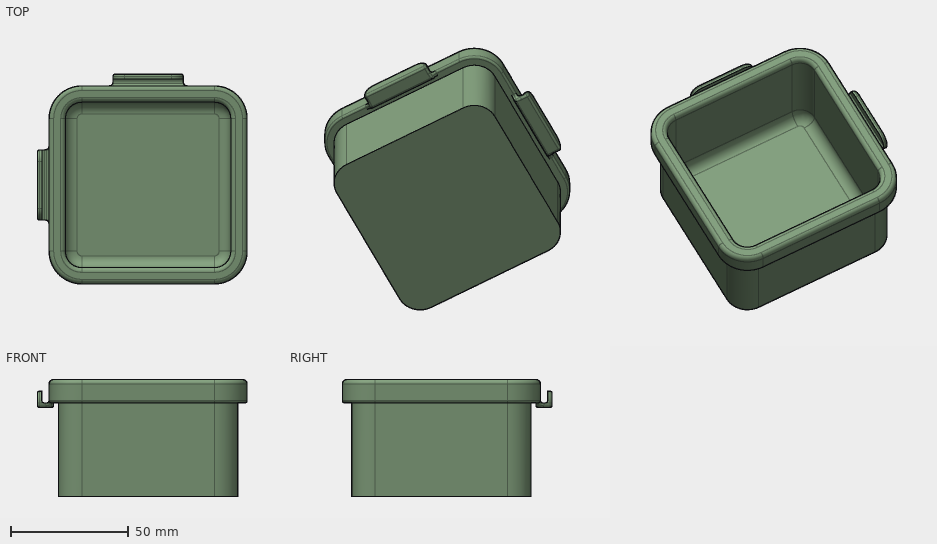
import cadquery as cq

height = 50.0
body_side = 76.5
body_corner_radius = 10.0
rim_overhang = 4.0
rim_height = 10.0
rim_top_radius = 2.0
rim_bottom_radius = 1.0
wall = 3.0
floor = 3.0
floor_radius = 5.0
mouth_radius = 2.0

hook_width = 30.0
hook_reach = 5.0
hook_overlap = 2.0
hook_thickness = 2.0
hook_height = 7.0
hook_corner_radius = 5.0
hook_edge_radius = 1.0
hook_blend_radius = 1.0
flare_radius = 2.0

rim_side = body_side + 2 * rim_overhang
rim_base = height - rim_height
rim_face = rim_side / 2
hook_base = rim_base - hook_thickness
hook_outer = rim_face + hook_reach
hook_inner = rim_face - hook_overlap
flare_end = hook_width / 2 + flare_radius
turn_x = rim_bottom_radius - rim_face
turn_z = rim_base + rim_bottom_radius
tolerance = 0.01


def rounded_block(side, corner_radius, base, top):
    """Square block with rounded vertical corners, centred on the Z axis."""
    block = cq.Workplane("XY").workplane(offset=base).rect(side, side).extrude(top - base)
    return block.edges("|Z").fillet(corner_radius)


def make_cup_blank():
    body = rounded_block(body_side, body_corner_radius, 0, rim_base)
    rim = rounded_block(rim_side, body_corner_radius + rim_overhang, rim_base, height)
    rim = rim.faces(">Z").edges().fillet(rim_top_radius)
    rim = rim.faces("<Z").edges().fillet(rim_bottom_radius)
    return body.union(rim)


def cut_cavity(cup):
    inner_side = body_side - 2 * wall
    cavity = rounded_block(inner_side, body_corner_radius - wall, floor, height)
    cavity = cavity.faces("<Z").edges().fillet(floor_radius)
    hollow = cup.cut(cavity)
    mouth_reach = inner_side / 2 + tolerance
    mouth = cq.selectors.BoxSelector(
        (-mouth_reach, -mouth_reach, height - tolerance),
        (mouth_reach, mouth_reach, height + tolerance),
        boundingbox=True,
    )
    return hollow.edges(mouth).fillet(mouth_radius)


def extrude_hook_section(half_width):
    """J-shaped section of the -X hook; the arm blends into the finger plate and the rim face."""
    blend_height = rim_base + hook_blend_radius
    finger_face = hook_thickness - hook_outer
    hook_top = hook_base + hook_height
    return (
        cq.Workplane("XZ")
        .moveTo(-hook_outer, hook_base)
        .lineTo(-hook_inner, hook_base)
        .lineTo(-hook_inner, blend_height)
        .lineTo(-rim_face, blend_height)
        .radiusArc((-rim_face - hook_blend_radius, rim_base), hook_blend_radius)
        .lineTo(finger_face + hook_blend_radius, rim_base)
        .radiusArc((finger_face, blend_height), hook_blend_radius)
        .lineTo(finger_face, hook_top)
        .lineTo(-hook_outer, hook_top)
        .close()
        .extrude(half_width, both=True)
    )


def flare_section():
    """Outline of the +Y flare under the rim, on the plane where the rim's bottom edge starts to turn."""
    rim_depth = -rim_bottom_radius
    return (
        cq.Workplane("YZ", origin=(turn_x, 0, turn_z))
        .lineTo(flare_end, 0)
        .lineTo(flare_end, rim_depth)
        .radiusArc((hook_width / 2, rim_depth - flare_radius), -flare_radius)
        .lineTo(0, rim_depth - flare_radius)
        .close()
    )


def make_flare():
    """Concave blend from the +Y side of the arm onto the rim, turning around the rim's bottom edge."""
    straight = flare_section().extrude(-hook_inner - turn_x)
    turned = flare_section().revolve(90, (0, 0, 0), (1, 0, 0))
    return straight.union(turned).intersect(extrude_hook_section(flare_end))


def make_hook():
    """Hook on the -X side with rounded finger corners, flared arm sides and rounded outer edges."""
    silhouette = (
        cq.Workplane("YZ", origin=(-hook_outer, 0, hook_base))
        .rect(hook_width, 2 * hook_height)
        .extrude(hook_outer - hook_inner)
        .edges("|X and >Z")
        .fillet(hook_corner_radius)
    )
    flare = make_flare()
    hook = extrude_hook_section(hook_width / 2).intersect(silhouette)
    hook = hook.union(flare).union(flare.mirror("XZ"))
    return hook.faces("<X or <Z").edges().fillet(hook_edge_radius)


hook = make_hook()
result = (
    cut_cavity(make_cup_blank())
    .union(hook)
    .union(hook.rotate((0, 0, 0), (0, 0, 1), -90))
)